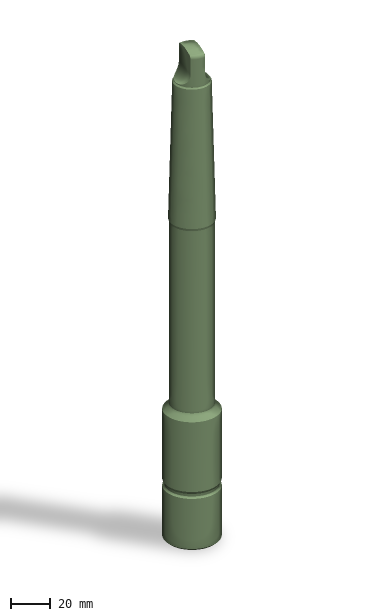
import cadquery as cq

length = 281.0
head_diameter = 30.0
head_radius = head_diameter / 2
head_top = 77.0
base_chamfer = 1.0

groove_bottom = 29.8
groove_top = 33.7
groove_depth = 1.0
groove_lower_flank = 0.8
groove_upper_flank = 1.7

shaft_diameter = 23.3
shaft_radius = shaft_diameter / 2
taper_base_radius = 12.0
taper_tip_diameter = 20.0
taper_tip_radius = taper_tip_diameter / 2
taper_start = 182.6
collar_height = 1.5

tang_length = 19.7
tang_radius = 9.3
tang_thickness = 8.0
tang_flat_length = 11.8
tang_runout_radius = 7.0
tang_corner_radius = 2.0
tang_dome_drop = 0.8

head_cone_height = head_radius - shaft_radius
taper_end = length - tang_length
tip_chamfer = taper_tip_radius - tang_radius

dome_edge_radius = tang_radius - tang_corner_radius
dome_edge_z = length - tang_dome_drop
dome_sphere_radius = (dome_edge_radius**2 + tang_dome_drop**2) / (2 * tang_dome_drop)


def turned_body():
    """Head, groove, shaft, taper and round domed tang as one revolved profile."""
    groove_radius = head_radius - groove_depth
    return (
        cq.Workplane("XZ")
        .moveTo(0, 0)
        .lineTo(head_radius - base_chamfer, 0)
        .lineTo(head_radius, base_chamfer)
        .lineTo(head_radius, groove_bottom)
        .lineTo(groove_radius, groove_bottom + groove_lower_flank)
        .lineTo(groove_radius, groove_top - groove_upper_flank)
        .lineTo(head_radius, groove_top)
        .lineTo(head_radius, head_top - head_cone_height)
        .lineTo(shaft_radius, head_top)
        .lineTo(shaft_radius, taper_start - collar_height)
        .lineTo(taper_base_radius, taper_start)
        .lineTo(taper_tip_radius, taper_end)
        .lineTo(tang_radius, taper_end + tip_chamfer)
        .lineTo(tang_radius, dome_edge_z - tang_corner_radius)
        .radiusArc((dome_edge_radius, dome_edge_z), -tang_corner_radius)
        .radiusArc((0, length), -dome_sphere_radius)
        .close()
        .revolve(360, (0, 0, 0), (0, 1, 0))
    )


def tang_side_cut():
    """Material beside the +Y tang flat, with a round run-out at its foot."""
    flat_y = tang_thickness / 2
    flat_end = length - tang_flat_length
    runout_y = flat_y + tang_runout_radius
    return (
        cq.Workplane("YZ")
        .moveTo(flat_y, length)
        .lineTo(flat_y, flat_end)
        .radiusArc((runout_y, flat_end - tang_runout_radius), -tang_runout_radius)
        .lineTo(runout_y, length)
        .close()
        .extrude(head_radius, both=True)
    )


side_cut = tang_side_cut()
result = turned_body().cut(side_cut).cut(side_cut.mirror("XZ"))